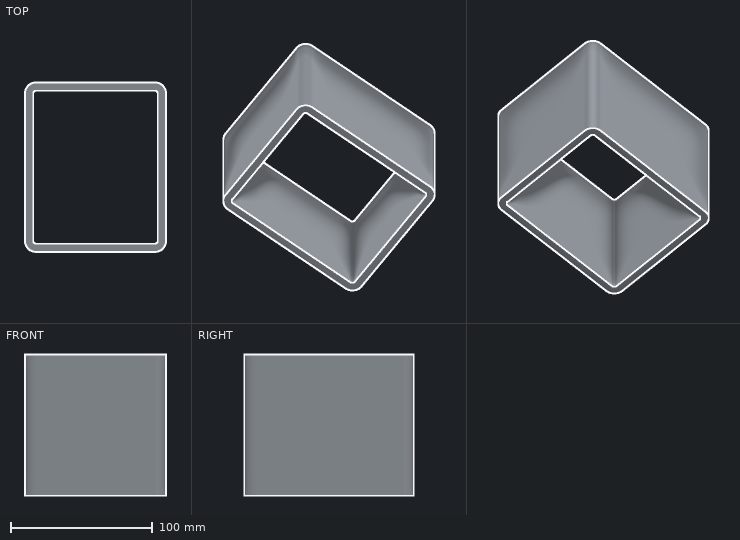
import cadquery as cq

width = 100.0
depth = 120.0
height = 100.0
wall = 6.0
outer_radius = 8.0
inner_radius = outer_radius - wall


def rounded_block(size_x, size_y, corner_radius):
    """Full-height block with rounded vertical edges."""
    block = cq.Workplane("XY").box(size_x, size_y, height)
    return block.edges("|Z").fillet(corner_radius)


outer = rounded_block(width, depth, outer_radius)
opening = rounded_block(width - 2 * wall, depth - 2 * wall, inner_radius)

result = outer.cut(opening)